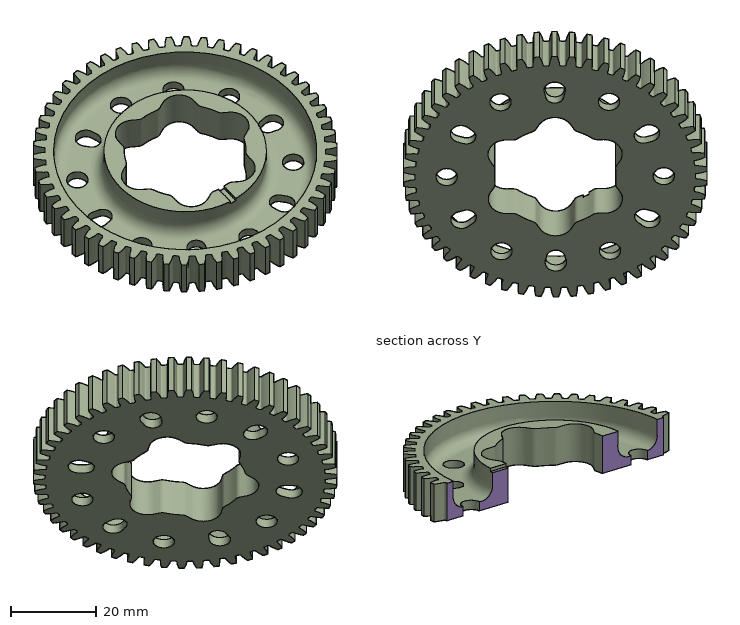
import cadquery as cq
import math

INCH = 25.4

tooth_count = 54
module = INCH / 20
pressure_angle = math.radians(14.5)
face_width = 3 / 8 * INCH
dedendum = 1.2 * module
flank_points = 6

pitch_radius = module * tooth_count / 2
tip_radius = pitch_radius + module
root_radius = pitch_radius - dedendum
base_radius = pitch_radius * math.cos(pressure_angle)
root_fillet = (base_radius**2 - root_radius**2) / (2 * root_radius)
root_fillet_angle = math.atan(root_fillet / base_radius)

hub_radius = 19.0
rim_inner_radius = 30.8
web_thickness = 3 / 32 * INCH
web_fillet = INCH / 8

hole_count = 6
hole_circle_radius = INCH
hole_radius = 2.48
slot_inner_center = 23.9
slot_inner_radius = 2.17

lobe_count = 6
lobe_tip_radius = 17.46
lobe_radius = 4.24
lobe_center = lobe_tip_radius - lobe_radius
land_radius = 14.25
land_corner_radius = 1.8

groove_width = INCH / 16
groove_depth = INCH / 32


def polar(radius, angle):
    return (radius * math.cos(angle), radius * math.sin(angle))


def mirrored(point):
    return (point[0], -point[1])


def involute(radius):
    """Involute function of the pressure angle found at the given radius."""
    angle = math.acos(base_radius / radius)
    return math.tan(angle) - angle


def tooth_half_angle(radius):
    """Half the angle a tooth spans at a radius on its involute flank."""
    quarter_pitch = math.pi / (2 * tooth_count)
    return quarter_pitch + involute(pitch_radius) - involute(radius)


def root_fillet_middle(angle, side):
    """Middle of the root fillet centred at an angle; side +1 if its tooth lies ahead, -1 behind."""
    center = polar(root_radius + root_fillet, angle)
    half_sweep = (math.pi / 2 - root_fillet_angle) / 2
    offset = polar(root_fillet, angle + math.pi - side * half_sweep)
    return (center[0] + offset[0], center[1] + offset[1])


def gear_blank():
    """Toothed disc with a tooth on the Y axis and a tooth gap on the X axis."""
    pitch_angle = 2 * math.pi / tooth_count
    half_pitch = pitch_angle / 2
    step = (tip_radius - base_radius) / (flank_points - 1)
    flank_radii = [base_radius + step * i for i in range(flank_points)]
    base_half_angle = tooth_half_angle(base_radius)

    outline = cq.Workplane("XY").moveTo(root_radius, 0)
    for i in range(tooth_count):
        tooth = (i + 0.5) * pitch_angle
        rising = [polar(r, tooth - tooth_half_angle(r)) for r in flank_radii]
        falling = [polar(r, tooth + tooth_half_angle(r)) for r in reversed(flank_radii)]
        root_before = tooth - base_half_angle - root_fillet_angle
        root_after = tooth + base_half_angle + root_fillet_angle
        outline = (
            outline.threePointArc(
                polar(root_radius, (tooth - half_pitch + root_before) / 2),
                polar(root_radius, root_before),
            )
            .threePointArc(root_fillet_middle(root_before, 1), rising[0])
            .spline(rising[1:], includeCurrent=True)
            .threePointArc(polar(tip_radius, tooth), falling[0])
            .spline(falling[1:], includeCurrent=True)
            .threePointArc(root_fillet_middle(root_after, -1), polar(root_radius, root_after))
            .threePointArc(
                polar(root_radius, (tooth + half_pitch + root_after) / 2),
                polar(root_radius, tooth + half_pitch),
            )
        )
    return outline.close().extrude(face_width)


def web_recess():
    """Annular recess in the top face, its lower corners rounded."""
    ring = cq.Workplane("XY").workplane(offset=web_thickness).circle(rim_inner_radius).circle(hub_radius)
    return ring.extrude(face_width - web_thickness).faces("<Z").edges().fillet(web_fillet)


def slot():
    """Hole on the hole circle, tapering towards a smaller end nearer the axis."""
    tilt = math.asin((hole_radius - slot_inner_radius) / (hole_circle_radius - slot_inner_center))
    dx = math.sin(tilt)
    dy = math.cos(tilt)
    inner = (slot_inner_center - slot_inner_radius * dx, slot_inner_radius * dy)
    outer = (hole_circle_radius - hole_radius * dx, hole_radius * dy)
    return (
        cq.Workplane("XY")
        .moveTo(*inner)
        .lineTo(*outer)
        .threePointArc((hole_circle_radius + hole_radius, 0), mirrored(outer))
        .lineTo(*mirrored(inner))
        .threePointArc((slot_inner_center - slot_inner_radius, 0), inner)
        .close()
        .extrude(face_width)
    )


def web_holes():
    holes = (
        cq.Workplane("XY")
        .polarArray(hole_circle_radius, 0, 360, hole_count)
        .circle(hole_radius)
        .extrude(face_width)
    )
    pitch_angle = 360 / hole_count
    for i in range(hole_count):
        holes = holes.union(slot().rotate((0, 0, 0), (0, 0, 1), (i + 0.5) * pitch_angle))
    return holes


def lobed_bore():
    """Bore with round lobes whose straight flanks run in to lands on a circle about the axis."""
    pitch_angle = 2 * math.pi / lobe_count
    half_pitch = pitch_angle / 2
    flank_offset = lobe_center * math.sin(half_pitch) + lobe_radius
    land_half_angle = pitch_angle - math.asin(flank_offset / land_radius)
    lobe_reach = math.pi / 2 - half_pitch

    outline = cq.Workplane("XY").moveTo(*polar(land_radius, land_half_angle))
    for i in range(lobe_count):
        axis = half_pitch + i * pitch_angle
        center = cq.Vector(*polar(lobe_center, axis))
        lobe_start = center + cq.Vector(*polar(lobe_radius, axis - lobe_reach))
        lobe_end = center + cq.Vector(*polar(lobe_radius, axis + lobe_reach))
        land = axis + half_pitch
        outline = (
            outline.lineTo(lobe_start.x, lobe_start.y)
            .threePointArc(polar(lobe_tip_radius, axis), (lobe_end.x, lobe_end.y))
            .lineTo(*polar(land_radius, land - land_half_angle))
            .threePointArc(polar(land_radius, land), polar(land_radius, land + land_half_angle))
        )
    bore = outline.close().extrude(face_width)

    land_edge_limit = 1.001 * land_radius
    land_corners = bore.edges("|Z").filter(
        lambda edge: math.hypot(edge.Center().x, edge.Center().y) < land_edge_limit
    )
    return land_corners.fillet(land_corner_radius)


def index_groove():
    groove = cq.Workplane("XY").workplane(offset=face_width - groove_depth)
    return groove.center(hub_radius / 2, 0).rect(hub_radius, groove_width).extrude(groove_depth)


result = (
    gear_blank()
    .cut(web_recess())
    .cut(web_holes())
    .cut(lobed_bore())
    .cut(index_groove())
)